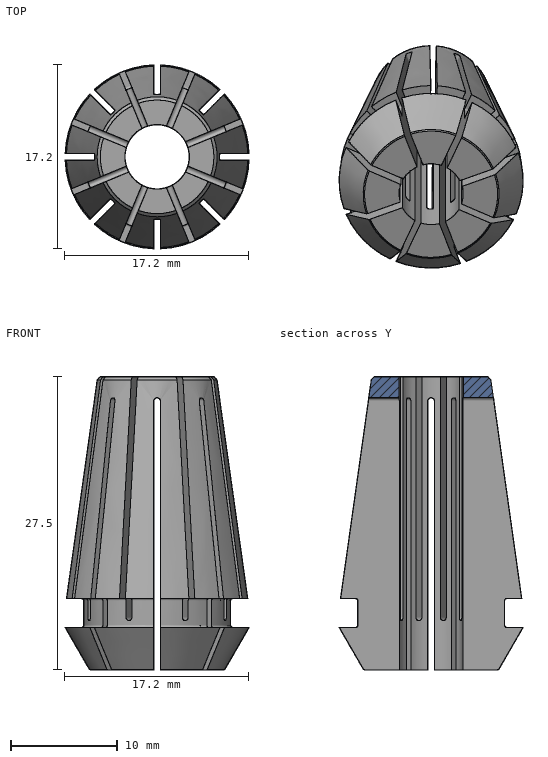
import cadquery as cq
import math

total_height = 27.5
flange_height = 4.0
groove_top = 6.7

bore_radius = 3.0
flange_radius = 8.625
groove_radius = 6.9
taper_large_radius = 8.5

taper_angle = 8.0
nose_angle = 30.0

top_chamfer = 0.3
nose_chamfer = 0.08
groove_fillet = 0.2

slot_count = 8
slot_width = 0.6
nose_slot_top = 25.5
tail_slot_bottom = 4.65
slot_pitch = 360.0 / slot_count

top_shoulder_z = total_height - top_chamfer
taper_small_radius = taper_large_radius - (top_shoulder_z - groove_top) * math.tan(math.radians(taper_angle))
nose_slope = math.tan(math.radians(nose_angle))
nose_radius = flange_radius - flange_height * nose_slope
nose_break_radius = nose_radius + nose_chamfer * nose_slope
slot_reach = flange_radius + 1.0
slot_overrun = 1.0


def make_body():
    """Revolve the collet: nose cone, extraction groove and long taper around the bore."""
    profile = (
        cq.Workplane("XZ")
        .moveTo(bore_radius, 0)
        .lineTo(nose_radius - nose_chamfer, 0)
        .lineTo(nose_break_radius, nose_chamfer)
        .lineTo(flange_radius, flange_height)
        .lineTo(groove_radius + groove_fillet, flange_height)
        .radiusArc((groove_radius, flange_height + groove_fillet), groove_fillet)
        .lineTo(groove_radius, groove_top - groove_fillet)
        .radiusArc((groove_radius + groove_fillet, groove_top), groove_fillet)
        .lineTo(taper_large_radius, groove_top)
        .lineTo(taper_small_radius, top_shoulder_z)
        .lineTo(taper_small_radius - top_chamfer, total_height)
        .lineTo(bore_radius, total_height)
        .close()
    )
    return profile.revolve(360, (0, 0, 0), (0, 1, 0))


def make_slot(open_z, closed_z, angle):
    """Radial slot from the axis outwards, open at open_z with a full round end at closed_z."""
    half_width = slot_width / 2
    round_start = closed_z - math.copysign(half_width, closed_z - open_z)
    return (
        cq.Workplane("YZ")
        .moveTo(-half_width, open_z)
        .lineTo(-half_width, round_start)
        .threePointArc((0, closed_z), (half_width, round_start))
        .lineTo(half_width, open_z)
        .close()
        .extrude(slot_reach)
        .rotate((0, 0, 0), (0, 0, 1), angle)
    )


def cut_slots(body):
    """Alternate slots from the nose end with slots from the tail end, half a pitch apart."""
    for index in range(slot_count):
        angle = index * slot_pitch
        body = body.cut(make_slot(-slot_overrun, nose_slot_top, angle))
        body = body.cut(make_slot(total_height + slot_overrun, tail_slot_bottom, angle + slot_pitch / 2))
    return body


result = cut_slots(make_body())